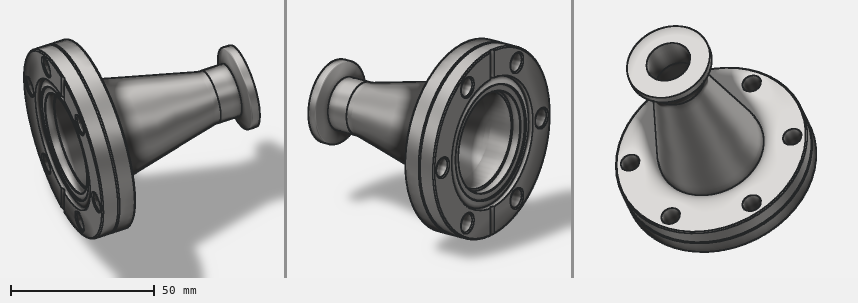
import cadquery as cq
import math

total_length = 68.4

flange_diameter = 69.3
flange_thickness = 12.75
flange_chamfer = 0.5
rim_groove_start = 5.95
rim_groove_width = 0.7
rim_groove_depth = 0.3
recess_diameter = 48.2
recess_fillet = 0.4
knife_diameter = 42.0
knife_tip_width = 0.15
knife_inner_slope = 0.15
knife_tip_depth = 0.6
knife_angle = 20.0
inner_land_depth = 1.2
lip_diameter = 36.6
lip_chamfer = 0.2
socket_depth = 4.5

bolt_count = 6
bolt_hole_diameter = 6.7
bolt_hole_chamfer = 0.5
bolt_circle_diameter = 58.6
slot_width = 2.4
slot_depth = 0.6

wall = 1.65
reducer_large_diameter = 38.1
reducer_small_diameter = 19.1
reducer_end = 55.85
large_bend_start = 13.25
bend_length = 2.4
bore_diameter = reducer_small_diameter - 2 * wall

clamp_diameter = 30.0
stub_diameter = 19.3
clamp_back = 63.8
clamp_angle = 15.0
clamp_edge_radius = 0.5


def revolve_about_y(profile):
    """Turn a closed (radius, y) profile into a solid of revolution."""
    return profile.close().revolve(360, (0, 0, 0), (0, 1, 0))


def sealing_flange_blank():
    outer = flange_diameter / 2
    recess = recess_diameter / 2
    knife = knife_diameter / 2
    lip = lip_diameter / 2
    socket = reducer_large_diameter / 2
    slope_end = recess - recess_fillet
    recess_depth = knife_tip_depth + (slope_end - knife) * math.tan(math.radians(knife_angle))
    groove_end = rim_groove_start + rim_groove_width

    profile = (
        cq.Workplane("XY")
        .moveTo(recess, 0)
        .lineTo(outer - flange_chamfer, 0)
        .lineTo(outer, flange_chamfer)
        .lineTo(outer, rim_groove_start)
        .threePointArc((outer - rim_groove_depth, (rim_groove_start + groove_end) / 2), (outer, groove_end))
        .lineTo(outer, flange_thickness - flange_chamfer)
        .lineTo(outer - flange_chamfer, flange_thickness)
        .lineTo(socket, flange_thickness)
        .lineTo(socket, socket_depth)
        .lineTo(lip, socket_depth)
        .lineTo(lip, inner_land_depth + lip_chamfer)
        .lineTo(lip + lip_chamfer, inner_land_depth)
        .lineTo(knife - knife_tip_width - knife_inner_slope, inner_land_depth)
        .lineTo(knife - knife_tip_width, knife_tip_depth)
        .lineTo(knife, knife_tip_depth)
        .lineTo(slope_end, recess_depth)
        .radiusArc((recess, recess_depth - recess_fillet), recess_fillet)
    )
    return revolve_about_y(profile)


def bolt_hole(angle):
    """Cutter for one bolt hole, countersunk at the sealing face."""
    radius = bolt_hole_diameter / 2
    cutter = revolve_about_y(
        cq.Workplane("XY")
        .lineTo(radius + bolt_hole_chamfer, 0)
        .lineTo(radius, bolt_hole_chamfer)
        .lineTo(radius, flange_thickness)
        .lineTo(0, flange_thickness)
    )
    cutter = cutter.translate((bolt_circle_diameter / 2, 0, 0))
    return cutter.rotate((0, 0, 0), (0, 1, 0), angle)


def leak_check_slot(side):
    """Cutter for a round-bottomed slot from the recess to the rim, on the +Z or -Z side."""
    radius = (slot_width ** 2 / 4 + slot_depth ** 2) / (2 * slot_depth)
    start = recess_diameter / 2 - recess_fillet
    return (
        cq.Workplane("XY")
        .workplane(offset=side * start)
        .center(0, slot_depth - radius)
        .circle(radius)
        .extrude(side * (flange_diameter / 2 - start))
    )


def make_bolted_flange():
    flange = sealing_flange_blank()
    for index in range(bolt_count):
        flange = flange.cut(bolt_hole(index * 360 / bolt_count))
    for side in (1, -1):
        flange = flange.cut(leak_check_slot(side))
    return flange


def make_reducer():
    """Cone of even wall, joined to its straight end and its small mouth by tangent bends."""
    large = reducer_large_diameter / 2
    small = reducer_small_diameter / 2
    run = reducer_end - large_bend_start - bend_length
    angle = math.atan((large - small) / run)
    bend_radius = bend_length / math.sin(angle)
    large_centre = large - bend_radius
    small_centre = small + bend_radius

    def on_large_bend(radius, turn):
        return (large_centre + radius * math.cos(turn), large_bend_start + radius * math.sin(turn))

    def on_small_bend(radius, turn):
        return (small_centre - radius * math.cos(turn), reducer_end - radius * math.sin(turn))

    inside_large_bend = bend_radius - wall
    inside_small_bend = bend_radius + wall
    profile = (
        cq.Workplane("XY")
        .moveTo(large, socket_depth)
        .lineTo(large, large_bend_start)
        .threePointArc(on_large_bend(bend_radius, angle / 2), on_large_bend(bend_radius, angle))
        .lineTo(*on_small_bend(bend_radius, angle))
        .threePointArc(on_small_bend(bend_radius, angle / 2), (small, reducer_end))
        .lineTo(small - wall, reducer_end)
        .threePointArc(on_small_bend(inside_small_bend, angle / 2), on_small_bend(inside_small_bend, angle))
        .lineTo(*on_large_bend(inside_large_bend, angle))
        .threePointArc(on_large_bend(inside_large_bend, angle / 2), (large - wall, large_bend_start))
        .lineTo(large - wall, socket_depth)
    )
    return revolve_about_y(profile)


def make_clamp_flange():
    outer = clamp_diameter / 2
    stub = stub_diameter / 2
    bore = bore_diameter / 2
    slope = math.radians(clamp_angle)
    corner = clamp_back + (outer - stub) * math.tan(slope)
    turn = math.pi / 2 - slope
    centre_radius = outer - clamp_edge_radius
    centre_y = corner + clamp_edge_radius * math.tan(turn / 2)

    def on_edge(bend):
        return (
            centre_radius + clamp_edge_radius * math.cos(bend),
            centre_y - clamp_edge_radius * math.sin(bend),
        )

    profile = (
        cq.Workplane("XY")
        .moveTo(bore, reducer_end)
        .lineTo(stub, reducer_end)
        .lineTo(stub, clamp_back)
        .lineTo(*on_edge(turn))
        .threePointArc(on_edge(turn / 2), (outer, centre_y))
        .lineTo(outer, total_length)
        .lineTo(bore, total_length)
    )
    return revolve_about_y(profile)


bolted_flange = make_bolted_flange()
reducer = make_reducer()
clamp_flange = make_clamp_flange()

result = cq.Compound.makeCompound([bolted_flange.val(), reducer.val(), clamp_flange.val()])